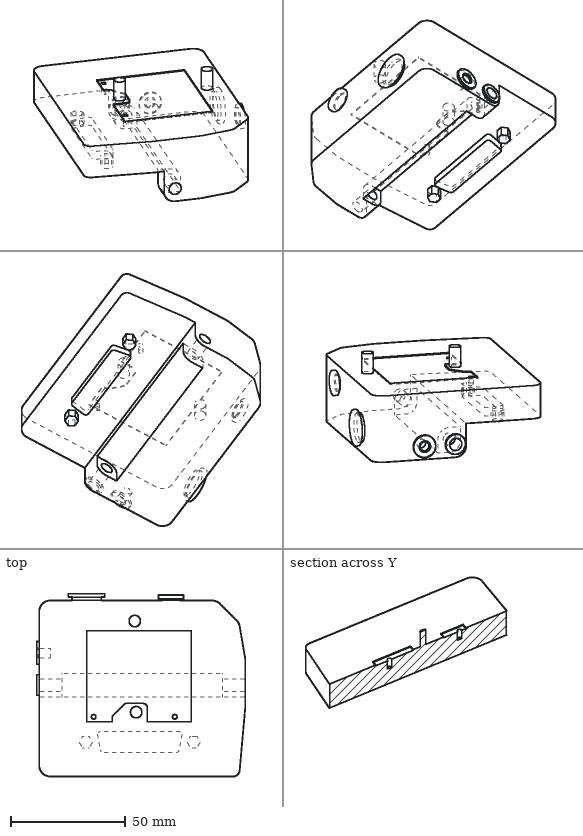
import cadquery as cq
import math


body_width = 90.1
body_depth = 77.0
body_height = 30.0
plate_thickness = 15.0
plate_underside = body_height - plate_thickness
corner_radius = 5.0
front_right_radius = 3.0
right_corner_x = 87.5
right_flat_start_y = 29.8
right_flat_end_y = 51.7
back_cut_start_x = 77.6
back_cut_end_y = body_depth - (right_corner_x - back_cut_start_x)

hinge_front_y = 35.0
hinge_radius = 5.0
hinge_axis_y = hinge_front_y + hinge_radius
hinge_axis_z = 6.1
hinge_hole_diameter = 5.5
hinge_bush_diameter = 9.0
ear_width = 10.0
ear_gap_radius = 5.1

bush_length = 1.0
socket_bush_diameter = 10.0
socket_y = 54.0
socket_diameter = 4.0
socket_rim_diameter = 5.1
socket_chamfer = (socket_rim_diameter - socket_diameter) / 2
socket_depth = 6.0

pin_diameter = 5.0
pin_height = 9.0
pin_centres = [(41.8, 68.0), (42.45, 28.15)]

recess_left = 20.8
recess_right = 66.4
recess_front = 23.9
recess_back = 63.7
recess_depth = 0.5
notch_left = 32.0
notch_right = 47.4
notch_back = 32.0
notch_slope_size = 5.65
notch_right_radius = 2.0
notch_slope_radius = 1.0
small_hole_diameter = 2.0
small_hole_depth = 5.0
small_hole_centres = [(23.9, 26.15), (59.3, 26.15)]

foot_centre_x = 43.9
foot_centre_y = 15.2
boss_back_width = 37.35
boss_front_width = 34.1
boss_depth = 9.2
boss_height = 3.8
boss_corner_radius = 1.5
hex_across_flats = 5.0
hex_across_corners = hex_across_flats / math.cos(math.pi / 6)
hex_height = 4.7
hex_spacing = 47.1

large_knob = {
    "x": 20.8,
    "z": 11.0,
    "neck_diameter": 12.9,
    "neck_length": 1.5,
    "head_diameter": 16.0,
    "head_length": 1.55,
}
small_knob = {
    "x": 57.7,
    "z": 22.1,
    "neck_diameter": 8.0,
    "neck_length": 0.6,
    "head_diameter": 11.0,
    "head_length": 1.8,
}
knob_edge_fillet = 0.3


def make_outline():
    """Body outline extruded over the full height, with its corners rounded."""
    blank = (
        cq.Workplane("XY")
        .moveTo(0, 0)
        .lineTo(right_corner_x, 0)
        .lineTo(body_width, right_flat_start_y)
        .lineTo(body_width, right_flat_end_y)
        .lineTo(right_corner_x, back_cut_end_y)
        .lineTo(back_cut_start_x, body_depth)
        .lineTo(0, body_depth)
        .close()
        .extrude(body_height)
    )
    front_right = cq.selectors.NearestToPointSelector((right_corner_x, 0, body_height / 2))
    blank = blank.edges(front_right).fillet(front_right_radius)
    for x, y in [
        (0, 0),
        (0, body_depth),
        (back_cut_start_x, body_depth),
        (right_corner_x, back_cut_end_y),
    ]:
        corner = cq.selectors.NearestToPointSelector((x, y, body_height / 2))
        blank = blank.edges(corner).fillet(corner_radius)
    return blank


def block(x0, x1, y0, y1, z0, z1):
    """Box between the given limits."""
    return (
        cq.Workplane("XY")
        .box(x1 - x0, y1 - y0, z1 - z0, centered=False)
        .translate((x0, y0, z0))
    )


def rod_x(y, z, diameter, x0, x1):
    """Cylinder along X."""
    return cq.Workplane("YZ", origin=(x0, y, z)).circle(diameter / 2).extrude(x1 - x0)


def make_body():
    body = make_outline()
    body = body.cut(block(0, body_width, 0, hinge_front_y, 0, plate_underside))
    lower_edge = cq.selectors.NearestToPointSelector((body_width / 2, hinge_front_y, 0))
    body = body.edges(lower_edge).fillet(hinge_radius)
    gap_right = body_width - ear_width
    gap_back = hinge_axis_y + ear_gap_radius
    gap_top = hinge_axis_z + ear_gap_radius
    gap = block(ear_width, gap_right, hinge_front_y, gap_back, 0, hinge_axis_z)
    gap = gap.union(block(ear_width, gap_right, hinge_front_y, hinge_axis_y, 0, gap_top))
    gap = gap.union(rod_x(hinge_axis_y, hinge_axis_z, 2 * ear_gap_radius, ear_width, gap_right))
    return body.cut(gap)


def add_bushes(body):
    body = body.union(rod_x(hinge_axis_y, hinge_axis_z, hinge_bush_diameter, -bush_length, ear_width))
    body = body.union(rod_x(socket_y, hinge_axis_z, socket_bush_diameter, -bush_length, ear_width))
    body = body.cut(rod_x(hinge_axis_y, hinge_axis_z, hinge_hole_diameter, -bush_length, body_width))
    socket = rod_x(socket_y, hinge_axis_z, socket_diameter, -bush_length, socket_depth - bush_length)
    rim = (
        cq.Workplane("YZ", origin=(-bush_length, socket_y, hinge_axis_z))
        .circle(socket_rim_diameter / 2)
        .workplane(offset=socket_chamfer)
        .circle(socket_diameter / 2)
        .loft()
    )
    return body.cut(socket).cut(rim)


def make_recess():
    floor_z = body_height - recess_depth
    notch = (
        cq.Workplane("XY", origin=(0, 0, floor_z))
        .moveTo(notch_left, recess_front)
        .lineTo(notch_right, recess_front)
        .lineTo(notch_right, notch_back)
        .lineTo(notch_left + notch_slope_size, notch_back)
        .lineTo(notch_left, notch_back - notch_slope_size)
        .close()
        .extrude(recess_depth)
    )
    for x, radius in [
        (notch_right, notch_right_radius),
        (notch_left + notch_slope_size, notch_slope_radius),
    ]:
        corner = cq.selectors.NearestToPointSelector((x, notch_back, floor_z + recess_depth / 2))
        notch = notch.edges(corner).fillet(radius)
    recess = block(recess_left, recess_right, recess_front, recess_back, floor_z, body_height)
    holes = (
        cq.Workplane("XY", origin=(0, 0, floor_z))
        .pushPoints(small_hole_centres)
        .circle(small_hole_diameter / 2)
        .extrude(-small_hole_depth)
    )
    return recess.cut(notch).union(holes)


def make_pins():
    return (
        cq.Workplane("XY", origin=(0, 0, body_height))
        .pushPoints(pin_centres)
        .circle(pin_diameter / 2)
        .extrude(pin_height)
    )


def make_feet():
    underside = cq.Workplane("XY", origin=(foot_centre_x, foot_centre_y, plate_underside))
    boss = (
        underside
        .moveTo(-boss_front_width / 2, -boss_depth / 2)
        .lineTo(boss_front_width / 2, -boss_depth / 2)
        .lineTo(boss_back_width / 2, boss_depth / 2)
        .lineTo(-boss_back_width / 2, boss_depth / 2)
        .close()
        .extrude(-boss_height)
        .edges("|Z")
        .fillet(boss_corner_radius)
    )
    hexes = (
        underside
        .pushPoints([(-hex_spacing / 2, 0), (hex_spacing / 2, 0)])
        .polygon(6, hex_across_corners)
        .extrude(-hex_height)
    )
    return boss.union(hexes)


def make_knob(x, z, neck_diameter, neck_length, head_diameter, head_length):
    """Neck with a wider round head, pointing backwards."""
    back = cq.Workplane("XZ", origin=(x, body_depth, z))
    neck = back.circle(neck_diameter / 2).extrude(-neck_length)
    head = (
        back.workplane(offset=-neck_length)
        .circle(head_diameter / 2)
        .extrude(-head_length)
        .edges()
        .fillet(knob_edge_fillet)
    )
    return neck.union(head)


result = add_bushes(make_body()).cut(make_recess())
result = result.union(make_pins()).union(make_feet())
for knob in (large_knob, small_knob):
    result = result.union(make_knob(**knob))